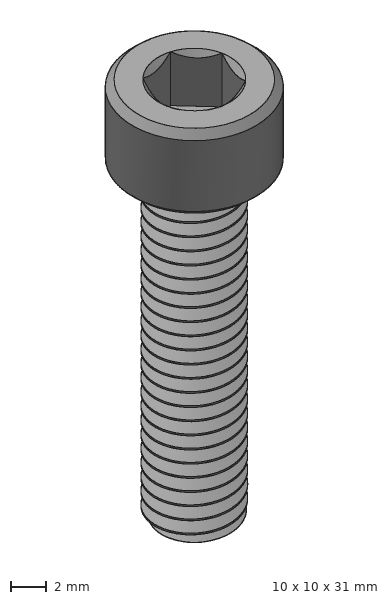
import cadquery as cq
import math


head_diameter = 10.0
head_height = 6.0
head_chamfer = 0.5

socket_across_flats = 5.0
socket_across_corners = socket_across_flats / math.cos(math.radians(30))
socket_depth = 3.8
mouth_half_angle = 45.0

thread_diameter = 6.0
root_diameter = 4.7
thread_pitch = 1.0
crest_width = thread_pitch / 8
flank_angle = 30.0
shank_length = 25.0
tip_diameter = 4.5
tip_chamfer_height = 0.6
groove_phase = -0.15
groove_clearance = 0.05


def make_head():
    """Chamfered cylinder with a hexagon socket and a conical lead-in at its mouth."""
    head = cq.Workplane("XY").circle(head_diameter / 2).extrude(head_height)
    head = head.edges("%CIRCLE").chamfer(head_chamfer)
    socket = (
        cq.Workplane("XY", origin=(0, 0, head_height))
        .transformed(rotate=(0, 0, 90))
        .polygon(6, socket_across_corners)
        .extrude(-socket_depth)
    )
    mouth_radius = socket_across_corners / 2
    mouth_depth = mouth_radius / math.tan(math.radians(mouth_half_angle))
    mouth = cq.Workplane(
        cq.Solid.makeCone(mouth_radius, 0, mouth_depth, pnt=(0, 0, head_height), dir=(0, 0, -1))
    )
    return head.cut(socket).cut(mouth)


def make_groove():
    """Right-hand helical V groove, overrunning both ends of the shank."""
    root_radius = root_diameter / 2
    crest_radius = thread_diameter / 2
    outer_radius = crest_radius + groove_clearance
    flank_slope = math.tan(math.radians(flank_angle))
    crest_half_gap = (thread_pitch - crest_width) / 2
    outer_half_gap = crest_half_gap + groove_clearance * flank_slope
    root_half_gap = crest_half_gap - (crest_radius - root_radius) * flank_slope
    corners = [
        (root_radius, -root_half_gap),
        (outer_radius, -outer_half_gap),
        (outer_radius, outer_half_gap),
        (root_radius, root_half_gap),
    ]

    start_height = groove_phase - shank_length - thread_pitch
    helix_height = shank_length + 2 * thread_pitch
    helices = [
        cq.Wire.makeHelix(thread_pitch, helix_height, radius)
        .translate(cq.Vector(0, 0, start_height + offset))
        for radius, offset in corners
    ]
    next_helices = helices[1:] + helices[:1]
    faces = [cq.Face.makeRuledSurface(*pair) for pair in zip(helices, next_helices)]
    for end_height in (start_height, start_height + helix_height):
        outline = [cq.Vector(radius, 0, end_height + offset) for radius, offset in corners]
        faces.append(cq.Face.makeFromWires(cq.Wire.makePolygon(outline, close=True)))
    return cq.Workplane(cq.Solid.makeSolid(cq.Shell.makeShell(faces)))


def make_tip_cutter():
    """Triangular ring, running out past the crests, that leaves a cone at the tip of the shank."""
    tip_radius = tip_diameter / 2
    ring_width = thread_diameter - tip_radius
    chamfer_width = thread_diameter / 2 - tip_radius
    ring_height = ring_width * tip_chamfer_height / chamfer_width
    return (
        cq.Workplane("XZ", origin=(0, 0, -shank_length))
        .moveTo(tip_radius, 0)
        .lineTo(tip_radius + ring_width, 0)
        .lineTo(tip_radius + ring_width, ring_height)
        .close()
        .revolve(360)
    )


def turn_seam(body):
    """Half a turn about Z, which keeps the seam of a round body clear of the ends of the groove."""
    return body.rotate((0, 0, 0), (0, 0, 1), 180)


def make_shank():
    """Threaded rod hanging below the head, chamfered at the tip after the groove is cut."""
    rod = cq.Workplane("XY").circle(thread_diameter / 2).extrude(-shank_length)
    threaded_rod = turn_seam(rod).cut(make_groove())
    return threaded_rod.cut(turn_seam(make_tip_cutter()))


result = make_head().union(make_shank())